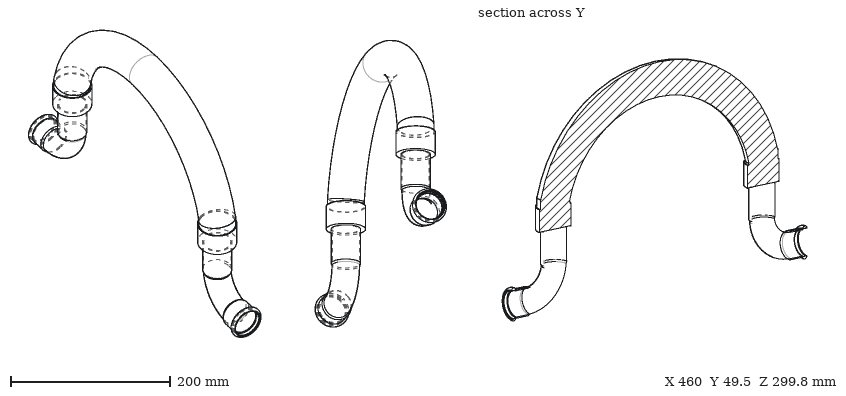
import cadquery as cq
import math

overall_width = 460.0
overall_height = 299.84
leg_offset = 162.0

hose_diameter = 46.5
collar_diameter = 49.5
socket_diameter = 38.4
leg_diameter = 37.0
elbow_diameter = 35.0
mouth_diameter = 37.0
socket_bore = 35.8
elbow_bore = 34.0

bend_radius = 42.0
shoulder_length = 4.0
bead_tube_radius = 3.5
mouth_depth = 1.5
socket_bore_depth = 2 * bead_tube_radius

collar_bottom = 87.0
collar_top = 117.0
hose_end_height = 124.5

bead_radius = mouth_diameter / 2 + bead_tube_radius

crown_height = overall_height - bead_radius - hose_diameter / 2
arch_rise = crown_height - hose_end_height
arch_radius = (leg_offset**2 + arch_rise**2) / (2 * arch_rise)
arch_centre_height = crown_height - arch_radius
hose_tilt = math.degrees(math.atan2(hose_end_height - arch_centre_height, leg_offset))

socket_mouth = -overall_width / 2
bend_start = -leg_offset - bend_radius


def vertical_cylinder(diameter, bottom, top):
    """Cylinder on the left leg axis between two heights."""
    return (
        cq.Workplane("XY", origin=(-leg_offset, 0, bottom))
        .circle(diameter / 2)
        .extrude(top - bottom)
    )


def bend(diameter):
    """Quarter-torus from the horizontal socket axis up to the vertical leg axis."""
    return (
        cq.Workplane("YZ", origin=(bend_start, 0, 0))
        .circle(diameter / 2)
        .revolve(90, (1, bend_radius, 0), (-1, bend_radius, 0))
    )


def sleeve(diameter, length):
    """Solid sleeve along +X from the end of the bend at X = 0, with a cone reaching back over the bend."""
    return (
        cq.Workplane("XY")
        .moveTo(-shoulder_length, 0)
        .lineTo(-shoulder_length, elbow_bore / 2)
        .lineTo(0, diameter / 2)
        .lineTo(length, diameter / 2)
        .lineTo(length, 0)
        .close()
        .revolve(360, (0, 0, 0), (1, 0, 0))
    )


def horizontal_socket():
    """Socket on the X axis, with a rounded bead around its mouth."""
    barrel = sleeve(socket_diameter, bend_start - socket_mouth).rotate((0, 0, 0), (0, 0, 1), 180)
    barrel = barrel.translate((bend_start, 0, 0))
    bead = (
        cq.Workplane("XZ")
        .moveTo(socket_mouth, 0)
        .lineTo(socket_mouth, mouth_diameter / 2)
        .threePointArc(
            (socket_mouth + bead_tube_radius, bead_radius),
            (socket_mouth + 2 * bead_tube_radius, mouth_diameter / 2),
        )
        .lineTo(socket_mouth + 2 * bead_tube_radius, 0)
        .close()
        .revolve(360, (0, 0, 0), (1, 0, 0))
    )
    return barrel.union(bead)


def leg_sleeve():
    """Sleeve on the leg axis, from the bend up to the collar."""
    upright = sleeve(leg_diameter, collar_bottom - bend_radius).rotate((0, 0, 0), (0, 1, 0), -90)
    return upright.translate((-leg_offset, 0, bend_radius))


def hose_stub():
    """Straight hose end rising from the collar, mitred on the end plane of the arch."""
    blank = vertical_cylinder(hose_diameter, collar_top, hose_end_height + hose_diameter / 2)
    cutter = (
        cq.Workplane("XY")
        .box(2 * hose_diameter, 2 * hose_diameter, hose_diameter, centered=(True, True, False))
        .rotate((0, 0, 0), (0, 1, 0), hose_tilt)
        .translate((-leg_offset, 0, hose_end_height))
    )
    return blank.cut(cutter)


def half_arch():
    """Left half of the hose, from its end plane above the collar up to the crown."""
    end_plane = cq.Plane(
        origin=(-leg_offset, 0, hose_end_height),
        xDir=(0, 1, 0),
        normal=(math.sin(math.radians(hose_tilt)), 0, math.cos(math.radians(hose_tilt))),
    )
    return (
        cq.Workplane(end_plane)
        .circle(hose_diameter / 2)
        .revolve(90 - hose_tilt, (-1, -arch_radius, 0), (1, -arch_radius, 0))
    )


def bore_step(diameter, depth):
    """Round cutter entering the horizontal socket from its mouth."""
    return cq.Workplane("YZ", origin=(socket_mouth, 0, 0)).circle(diameter / 2).extrude(depth)


def bore():
    """Stepped socket bore followed by the bore of the elbow, ending at the collar."""
    cutter = bore_step(mouth_diameter, mouth_depth)
    cutter = cutter.union(bore_step(socket_bore, socket_bore_depth))
    cutter = cutter.union(bore_step(elbow_bore, bend_start - socket_mouth))
    riser = vertical_cylinder(elbow_bore, bend_radius, collar_bottom)
    return cutter.union(bend(elbow_bore)).union(riser)


def left_half():
    """Everything on the left of the centre plane, in one solid."""
    body = horizontal_socket().union(bend(elbow_diameter)).union(leg_sleeve())
    body = body.union(vertical_cylinder(collar_diameter, collar_bottom, collar_top))
    body = body.union(hose_stub()).union(half_arch())
    return body.cut(bore())


left = left_half()
result = left.union(left.mirror("YZ"), clean=False)